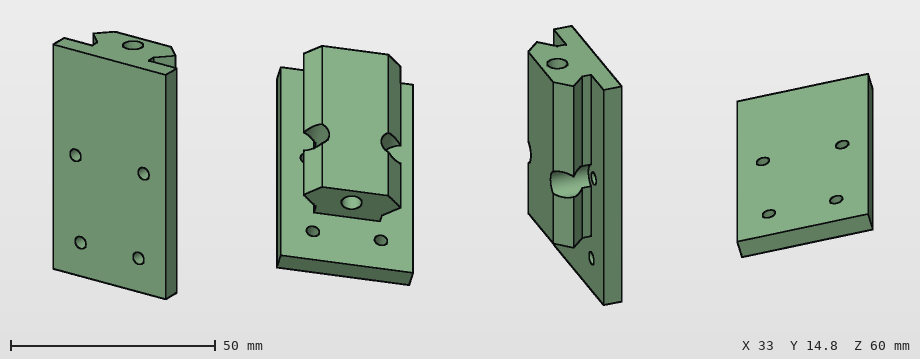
import cadquery as cq

plate_width = 33.0
plate_height = 60.0
plate_thickness = 4.8

total_depth = 14.75
rail_length = 45.0
rail_foot = plate_height - rail_length
neck_half_width = plate_width / 4
flank_size = 3.85
tip_half_width = neck_half_width + flank_size
tip_y = total_depth - flank_size
neck_top_y = tip_y - flank_size

bore_diameter = 5.0
bore_y = 10.4

screw_hole_diameter = 3.2
lower_hole_spacing = 17.0
lower_hole_z = 9.0
upper_hole_spacing = 20.0
upper_hole_z = 32.0

head_clearance_diameter = 7.0


def cylinders_along_y(diameter, spacing, z, y_start, y_end):
    """Pair of cylinders along +Y, placed symmetrically about X = 0."""
    return (
        cq.Workplane("XZ", origin=(0, y_start, 0))
        .pushPoints([(-spacing / 2, z), (spacing / 2, z)])
        .circle(diameter / 2)
        .extrude(y_start - y_end)
    )


def make_plate():
    return cq.Workplane("XY").box(
        plate_width, plate_thickness, plate_height, centered=(True, False, False)
    )


def make_rail():
    right_side = [
        (neck_half_width, 0),
        (neck_half_width, neck_top_y),
        (tip_half_width, tip_y),
        (neck_half_width, total_depth),
    ]
    left_side = [(-x, y) for x, y in reversed(right_side)]
    return (
        cq.Workplane("XY", origin=(0, 0, rail_foot))
        .polyline(right_side + left_side)
        .close()
        .extrude(rail_length)
    )


def make_bore():
    return (
        cq.Workplane("XY", origin=(0, bore_y, rail_foot))
        .circle(bore_diameter / 2)
        .extrude(rail_length)
    )


result = make_plate().union(make_rail()).cut(make_bore())

for spacing, z in [(lower_hole_spacing, lower_hole_z), (upper_hole_spacing, upper_hole_z)]:
    result = result.cut(cylinders_along_y(screw_hole_diameter, spacing, z, 0, plate_thickness))

result = result.cut(
    cylinders_along_y(
        head_clearance_diameter, upper_hole_spacing, upper_hole_z, plate_thickness, total_depth
    )
)